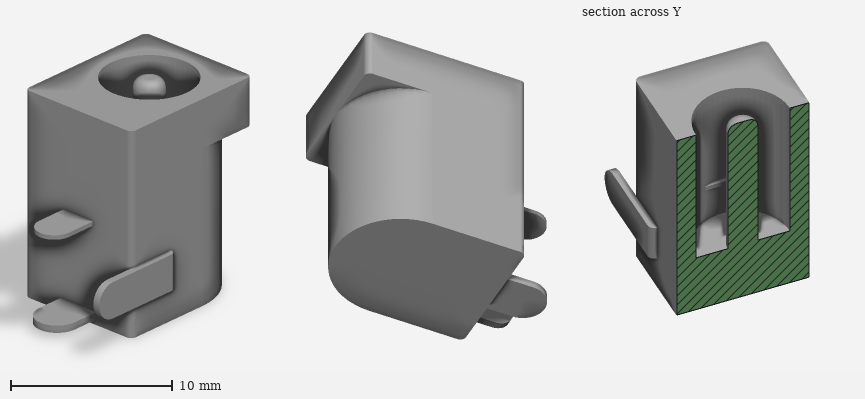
import cadquery as cq


BODY_WIDTH = 9.0
BODY_DEPTH = 10.97
BODY_HEIGHT = 14.25
FLANGE_HEIGHT = 3.4
CORNER_RADIUS = 0.4
BARREL_RADIUS = BODY_WIDTH / 2
BACK_Y = BARREL_RADIUS
FRONT_Y = BACK_Y - BODY_DEPTH
BARREL_HEIGHT = BODY_HEIGHT - FLANGE_HEIGHT

SOCKET_DIAMETER = 6.35
SOCKET_DEPTH = 10.0
SOCKET_FLOOR_Z = BODY_HEIGHT - SOCKET_DEPTH
PIN_DIAMETER = 2.05
PIN_TIP_RADIUS = 0.65
PIN_TOP_Z = BODY_HEIGHT

LEAD_LENGTH = 7.0
LEAD_PROJECTION = 3.43
LEAD_TIP_Y = FRONT_Y - LEAD_PROJECTION
SPRING_LEAD_WIDTH = 2.5
SPRING_LEAD_THICKNESS = 0.3
SPRING_LEAD_Z = 6.75
PIN_LEAD_WIDTH = 3.0
PIN_LEAD_THICKNESS = 0.5
PIN_LEAD_Z = 0.37
SIDE_LEAD_WIDTH = 2.5
SIDE_LEAD_THICKNESS = 0.5
SIDE_LEAD_Z = 2.37
SIDE_LEAD_STANDOFF = 0.47
SIDE_LEAD_BEND_RADIUS = 0.45


def make_housing():
    """Rectangular flange over a body whose back is a half cylinder."""
    block = (
        cq.Workplane("XY")
        .center(0, (BACK_Y + FRONT_Y) / 2)
        .rect(BODY_WIDTH, BODY_DEPTH)
        .extrude(BODY_HEIGHT)
        .edges("|Z")
        .fillet(CORNER_RADIUS)
    )
    back_half = (
        cq.Workplane("XY")
        .center(0, BACK_Y / 2)
        .rect(BODY_WIDTH, BACK_Y)
        .extrude(BARREL_HEIGHT)
    )
    barrel = cq.Workplane("XY").circle(BARREL_RADIUS).extrude(BARREL_HEIGHT)
    return block.cut(back_half.cut(barrel))


def make_socket():
    """Blind round cavity that receives the plug."""
    return (
        cq.Workplane("XY", origin=(0, 0, SOCKET_FLOOR_Z))
        .circle(SOCKET_DIAMETER / 2)
        .extrude(SOCKET_DEPTH)
    )


def make_centre_pin():
    """Centre contact with a rounded tip, rooted in the housing below the socket."""
    return (
        cq.Workplane("XY", origin=(0, 0, PIN_LEAD_Z))
        .circle(PIN_DIAMETER / 2)
        .extrude(PIN_TOP_Z - PIN_LEAD_Z)
        .faces(">Z")
        .edges()
        .fillet(PIN_TIP_RADIUS)
    )


def make_lead(width, thickness):
    """Strip lying on Z = 0, centred on X, its rounded end at the lead tip."""
    radius = width / 2
    inner_y = LEAD_TIP_Y + LEAD_LENGTH
    round_y = LEAD_TIP_Y + radius
    return (
        cq.Workplane("XY")
        .moveTo(-radius, inner_y)
        .lineTo(-radius, round_y)
        .threePointArc((0, LEAD_TIP_Y), (radius, round_y))
        .lineTo(radius, inner_y)
        .close()
        .extrude(thickness)
    )


def make_side_lead():
    """Upright lead along the +X side, rounded where it bends into the housing."""
    outer_x = BODY_WIDTH / 2 + SIDE_LEAD_STANDOFF
    inner_x = outer_x - SIDE_LEAD_THICKNESS
    centre_z = SIDE_LEAD_Z + SIDE_LEAD_WIDTH / 2
    return (
        make_lead(SIDE_LEAD_WIDTH, SIDE_LEAD_THICKNESS)
        .rotate((0, 0, 0), (0, 1, 0), 90)
        .translate((inner_x, 0, centre_z))
        .edges(">X and >Y")
        .fillet(SIDE_LEAD_BEND_RADIUS)
    )


spring_lead = make_lead(SPRING_LEAD_WIDTH, SPRING_LEAD_THICKNESS).translate((0, 0, SPRING_LEAD_Z))
pin_lead = make_lead(PIN_LEAD_WIDTH, PIN_LEAD_THICKNESS).translate((0, 0, PIN_LEAD_Z))

result = (
    make_housing()
    .cut(make_socket())
    .union(make_centre_pin())
    .union(spring_lead)
    .union(pin_lead)
    .union(make_side_lead())
)